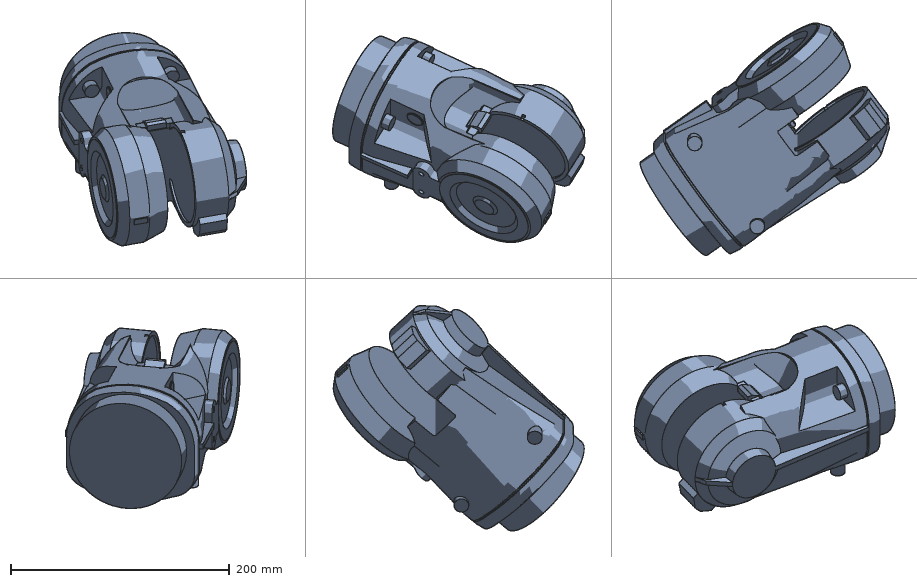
import cadquery as cq

SPIGOT_END = 20.9
RING_BEVEL_END = 29.1
RING_END = 33.5
COLLAR_START = 35.5
COLLAR_END = 46.3
WAIST_X = 99.6
BODY_END = 151.2
HUB_X = 161.4
LENGTH = 217.5

SPIGOT_RADIUS = 52.6

COLLAR_HALF_WIDTH = 61.5
COLLAR_TOP = 56.1
COLLAR_BOTTOM = 56.0
COLLAR_SIDE_RISE = 2.2
COLLAR_SIDE_DROP = 25.0
RING_INSET = 0.2
RING_BEVEL = 1.3
GROOVE_DEPTH = 2.2

WAIST_SIZE = (52.6, 57.5, 55.7, 52.2, 19.5, 35.9)
FORK_SIZE = (52.6, 53.0, 58.3, 54.4, 19.5, 40.2)

SHOULDER_Y, SHOULDER_Z = 0.57, 0.87
CHEEK_Y = 0.88
CORNER_Y = 0.91
CHIN_Y, CHIN_Z = 0.68, 0.85
BULGE = 0.6

GAP_HALF = 13.5
GAP_START = 126.8
GAP_CORNER = 2.2
FRONT_FACE_Y = -61.8
FRONT_HUB_RADIUS = 54.8
FRONT_FACE_RADIUS = 48.0
REAR_HUB_RADIUS = 48.3
REAR_HUB_SHOULDER_Y = 45.0
REAR_RECESS_DEPTH = 2.2
REAR_BOSS_RADIUS = 23.0
REAR_BOSS_Y = 69.8

TROUGH_RADIUS = 31.8
TROUGH_AXIS_Z = 62.5
TROUGH_WALL_Y = 29.0
TROUGH_FLOOR = TROUGH_AXIS_Z - TROUGH_RADIUS
TROUGH_END_X = 110.3
TROUGH_RIM_RADIUS = 32.5
TROUGH_RIM_Z = 53.5
TROUGH_TOE_RADIUS = 18.5

POCKET_WALL_Y = 26.5
POCKET_FLOOR_Z = 21.3
POCKET_FILLET = 10.9
POCKET_END_INNER = (81.0, POCKET_WALL_Y)
POCKET_END_OUTER = (103.7, 54.4)

RIB_HALF = 2.5
FRONT_RIB_Y = -64.5


def box(x, y, z):
    """Box from three (low, high) ranges."""
    size = [high - low for low, high in (x, y, z)]
    return cq.Workplane("XY").box(*size, centered=False).translate((x[0], y[0], z[0]))


def outline(plane, front, rear, top, bottom, side_rise, side_drop):
    """Housing outline in Y and Z: domed top, upright sides, shallow rounded bottom."""
    shoulder_z = SHOULDER_Z * top
    cheek_z = (1 - BULGE) * side_rise + BULGE * shoulder_z
    chin_z = -CHIN_Z * bottom
    corner_z = (BULGE - 1) * side_drop + BULGE * chin_z
    return (
        plane.moveTo(-SHOULDER_Y * front, shoulder_z)
        .threePointArc((0, top), (SHOULDER_Y * rear, shoulder_z))
        .threePointArc((CHEEK_Y * rear, cheek_z), (rear, side_rise))
        .lineTo(rear, -side_drop)
        .threePointArc((CORNER_Y * rear, corner_z), (CHIN_Y * rear, chin_z))
        .threePointArc((0, -bottom), (-CHIN_Y * front, chin_z))
        .threePointArc((-CORNER_Y * front, corner_z), (-front, -side_drop))
        .lineTo(-front, side_rise)
        .threePointArc((-CHEEK_Y * front, cheek_z), (-SHOULDER_Y * front, shoulder_z))
        .close()
    )


def collar_size(inset):
    """Outline sizes of the collar, drawn in by inset all round."""
    half = COLLAR_HALF_WIDTH - inset
    return half, half, COLLAR_TOP - inset, COLLAR_BOTTOM - inset, COLLAR_SIDE_RISE, COLLAR_SIDE_DROP


def collar_disc(start, end, inset):
    return outline(cq.Workplane("YZ", origin=(start, 0, 0)), *collar_size(inset)).extrude(end - start)


def revolve_about_hub(profile):
    """Turn (radius, y) points about the hub axis."""
    points = [(HUB_X + radius, y) for radius, y in profile]
    return cq.Workplane("XY").polyline(points).close().revolve(360, (HUB_X, 0), (HUB_X, 1))


def cylinder_y(x, z, radius, start, end):
    return cq.Workplane("XZ", origin=(x, start, z)).circle(radius).extrude(start - end)


def cylinder_x(y, z, radius, start, end):
    return cq.Workplane("YZ", origin=(start, y, z)).circle(radius).extrude(end - start)


def loft_sections(sections):
    """Straight-sided loft through (x, outline sizes...) sections of the housing."""
    wires = [outline(cq.Workplane("YZ", origin=(x, 0, 0)), *sizes).val() for x, *sizes in sections]
    return cq.Workplane(cq.Solid.makeLoft(wires, True))


def round_end():
    """Spigot, bevelled ring, groove and collar."""
    bevel_start = (SPIGOT_END, *collar_size(RING_INSET + RING_BEVEL))
    bevel_end = (RING_BEVEL_END, *collar_size(RING_INSET))
    end = cylinder_x(0, 0, SPIGOT_RADIUS, 0, SPIGOT_END)
    end = end.union(loft_sections([bevel_start, bevel_end]))
    end = end.union(collar_disc(RING_BEVEL_END, RING_END, RING_INSET))
    end = end.union(collar_disc(RING_END, COLLAR_START, GROOVE_DEPTH))
    return end.union(collar_disc(COLLAR_START, COLLAR_END, 0))


def trough():
    """Round-bottomed channel along X with upright rims and a conical closed end."""
    bore = cylinder_x(0, TROUGH_AXIS_Z, TROUGH_RADIUS, COLLAR_START, LENGTH)
    cone = cq.Workplane(
        cq.Solid.makeCone(
            TROUGH_TOE_RADIUS,
            TROUGH_RIM_RADIUS,
            TROUGH_RIM_Z - TROUGH_FLOOR,
            pnt=cq.Vector(TROUGH_END_X, 0, TROUGH_FLOOR),
        )
    )
    above = cq.Workplane("XY", origin=(TROUGH_END_X, 0, TROUGH_RIM_Z))
    above = above.circle(TROUGH_RIM_RADIUS).extrude(COLLAR_TOP)
    straight = box((TROUGH_END_X, 2 * LENGTH), (-LENGTH, LENGTH), (0, 2 * COLLAR_TOP))
    between_walls = box((0, LENGTH), (-TROUGH_WALL_Y, TROUGH_WALL_Y), (0, 2 * COLLAR_TOP))
    return bore.intersect(cone.union(above).union(straight)).intersect(between_walls)


def pocket(side):
    """Rear corner pocket with a slanted end; side -1 mirrors it to the front."""
    (x1, y1), (x2, y2) = POCKET_END_INNER, POCKET_END_OUTER
    outer_y = COLLAR_HALF_WIDTH + 2.2
    outer_x = x2 + (outer_y - y2) * (x2 - x1) / (y2 - y1)
    plan = [(COLLAR_END, y1), (x1, y1), (outer_x, outer_y), (COLLAR_END, outer_y)]
    cutter = cq.Workplane("XY", origin=(0, 0, POCKET_FLOOR_Z)).polyline(plan).close()
    cutter = cutter.extrude(COLLAR_TOP)
    rounded = box((COLLAR_END, LENGTH), (y1, 2 * outer_y), (POCKET_FLOOR_Z, 2 * COLLAR_TOP))
    rounded = rounded.edges("|X and <Y and <Z").fillet(POCKET_FILLET)
    cutter = cutter.intersect(rounded)
    return cutter if side > 0 else cutter.mirror("XZ")


def body():
    """Tapered housing with the trough, fork gap and corner pockets removed."""
    solid = loft_sections([
        (COLLAR_END, *collar_size(0)),
        (WAIST_X, *WAIST_SIZE),
        (BODY_END, *FORK_SIZE),
    ])
    gap = box((GAP_START, LENGTH), (-GAP_HALF, GAP_HALF + REAR_RECESS_DEPTH), (-LENGTH, LENGTH))
    solid = solid.cut(trough()).cut(gap.edges("|Z and <X").fillet(GAP_CORNER))
    for side in (-1, 1):
        solid = solid.cut(pocket(side))
    return solid


def front_hub():
    """Hub with a proud cover plate, a conical-floored recess and a centre button."""
    rim_step = 0.7
    plate_radius = 46.0
    recess_mouth = 35.0
    recess_floor = 30.7
    recess_depth = 4.4
    button_radius = 12.6
    button_top_radius = 9.8
    face = FRONT_FACE_Y
    button_top = face + 0.9
    button_foot = face + 3.0
    return revolve_about_hub([
        (0, -GAP_HALF),
        (48.5, -GAP_HALF),
        (FRONT_HUB_RADIUS, -32.6),
        (FRONT_HUB_RADIUS, -51.8),
        (FRONT_FACE_RADIUS, face + rim_step),
        (plate_radius, face + rim_step),
        (plate_radius, face),
        (recess_mouth, face),
        (recess_floor, face + recess_depth),
        (button_radius, button_foot),
        (button_top_radius, button_top),
        (0, button_top),
    ])


def rear_hub():
    """Stepped hub with a boss outside, a shallow recess inside and a notch in its rim."""
    recess_radius = 44.4
    hub = revolve_about_hub([
        (0, GAP_HALF + REAR_RECESS_DEPTH),
        (recess_radius, GAP_HALF + REAR_RECESS_DEPTH),
        (recess_radius, GAP_HALF),
        (REAR_HUB_RADIUS, GAP_HALF),
        (REAR_HUB_RADIUS, REAR_HUB_SHOULDER_Y),
        (40.2, 54.4),
        (24.4, 59.8),
        (REAR_BOSS_RADIUS, REAR_BOSS_Y),
        (0, REAR_BOSS_Y),
    ])
    notch_half = 1.5
    notch = box(
        (HUB_X - notch_half, HUB_X + notch_half), (GAP_HALF, 17.5), (recess_radius, REAR_HUB_RADIUS)
    )
    return hub.cut(notch)


def rim_pad():
    """Tapered pad on the rear hub rim, pointing outward and down."""
    angle = 41
    half_base = 14.5
    half_tip = 4.0
    base = 52.2
    tip = 58.7
    plan = [
        (0, -half_base),
        (base, -half_base),
        (tip, -half_tip),
        (tip, half_tip),
        (base, half_base),
        (0, half_base),
    ]
    outer_y = 43.5
    thickness = 26
    pad = cq.Workplane("XZ", origin=(0, outer_y, 0)).polyline(plan).close().extrude(thickness)
    return pad.rotate((0, 0, 0), (0, 1, 0), angle).translate((HUB_X, 0, 0))


def strap():
    """Two-eared plate joining the front cover to the housing, with a hole in each ear."""
    face_y = FRONT_FACE_Y + 0.2
    back_y = -47.8
    ear_x = 96.5
    ear_radius = 8.5
    ear_heights = (-20.0, 10.0)
    neck_end = 117.5
    neck_fillet = 3.7
    hole_radius = 2.6
    hole_depth = 6.5
    plate = box((ear_x - ear_radius, neck_end), (face_y, back_y), ear_heights)
    for z in ear_heights:
        plate = plate.union(cylinder_y(ear_x, z, ear_radius, face_y, back_y))
    throat_x = ear_x + ear_radius
    throats = cq.selectors.BoxSelector((throat_x - 2.2, -LENGTH, -LENGTH), (throat_x + 2.2, LENGTH, LENGTH))
    plate = plate.edges("|Y").edges(throats).fillet(neck_fillet)
    for z in ear_heights:
        plate = plate.cut(cylinder_y(ear_x, z, hole_radius, face_y, face_y + hole_depth))
    return plate


def ribs():
    """Thin ribs along both sides; the rear one passes over the rear boss to the hub rim."""
    root = 47.8
    front = box((COLLAR_START, 83.7), (FRONT_RIB_Y, -root), (-RIB_HALF, RIB_HALF))
    side = [
        (COLLAR_START, root),
        (COLLAR_START, 64.4),
        (HUB_X - REAR_BOSS_RADIUS, REAR_BOSS_Y),
        (HUB_X + REAR_BOSS_RADIUS, REAR_BOSS_Y),
        (HUB_X + 42.6, 55.0),
        (HUB_X + REAR_HUB_RADIUS, REAR_HUB_SHOULDER_Y),
        (HUB_X, REAR_HUB_SHOULDER_Y),
    ]
    rear = cq.Workplane("XY").polyline(side).close().extrude(RIB_HALF, both=True)
    return front.union(rear)


def pocket_fittings():
    """Screw heads against the collar and a button on the front pocket wall."""
    head_radius = 7.0
    head_length = 7.6
    head_y = 38.3
    head_z = 32.2
    button_x = 71.8
    button_z = 37.2
    button_radius = 8.3
    button_height = 1.3
    button_root = 2.2
    wall_y = -POCKET_WALL_Y
    fittings = cylinder_y(button_x, button_z, button_radius, wall_y - button_height, wall_y + button_root)
    fittings = fittings.faces("<Y").chamfer(button_height / 2)
    for y in (-head_y, head_y):
        fittings = fittings.union(cylinder_x(y, head_z, head_radius, COLLAR_END, COLLAR_END + head_length))
    return fittings


def bottom_studs():
    """Upright studs below the lower corners of the housing."""
    stud_x = 59.0
    stud_y = 48.5
    stud_radius = 6.7
    stud_length = 17.5
    stud_foot_z = -50.5
    studs = cq.Workplane("XY", origin=(stud_x, 0, stud_foot_z)).pushPoints([(0, -stud_y), (0, stud_y)])
    return studs.circle(stud_radius).extrude(stud_length)


def bracket():
    """Sloping clip standing on the trough floor, with a lower flange on each side."""
    clip_half_width = 9.1
    flange_half_width = 17.0
    flange_top = 35.9
    flange_bevel = 1.5
    foot_z = TROUGH_FLOOR - 2.2
    clip_side = [
        (115.0, foot_z),
        (115.0, 32.2),
        (118.5, 36.0),
        (127.0, 39.8),
        (131.4, 39.4),
        (131.4, 33.7),
        (124, foot_z),
    ]
    clip = cq.Workplane("XZ").polyline(clip_side).close().extrude(clip_half_width, both=True)
    flange = box((118.8, 128.3), (-flange_half_width, flange_half_width), (TROUGH_FLOOR, flange_top))
    return clip.union(flange.edges("|Y and >Z and <X").chamfer(flange_bevel))


def rim_tab():
    """Small stop on the far side of the front hub."""
    root_x = HUB_X + FRONT_HUB_RADIUS - 2.6
    return box((root_x, LENGTH), (-47.8, -34.8), (-5.5, 0))


features = (rear_hub(), rim_pad(), strap(), ribs(), pocket_fittings(), bottom_studs(), bracket(), rim_tab())

result = round_end().union(body()).union(front_hub())
for feature in features:
    result = result.union(feature)